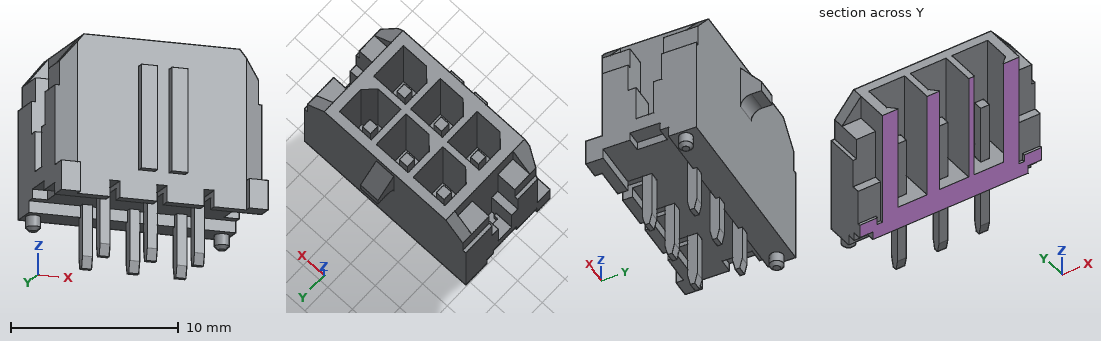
import cadquery as cq


width = 13.15
height = 9.90
front_y = -3.465
back_y = 3.425
depth = back_y - front_y
half_width = width / 2

top_half_width = 4.95
shoulder_half_width = 6.33
shoulder_z = 8.23
step_z = 6.75
front_corner_x = 5.365
front_corner_depth = 0.62

platform_back_y = 2.65
platform_front_y = -2.44
slot_width = 2.24
slot_floor_z = 4.74
groove_width = 1.17
groove_floor_z = 2.27
pocket_outer_x = 5.61
pocket_middle_x = 5.30
pocket_tab_width = 0.78
pocket_depth = 0.50

front_detail_y = -3.955
foot_back_y = -2.79
foot_height = 1.82
rib_width = 1.02
rib_spacing = 1.94

latch_width = 1.42
latch_tip_y = 4.815
latch_top_z = 9.33
latch_tip_z = 7.70
latch_bottom_z = 6.98
latch_root_radius = 0.72

recess_height = 0.72
recess_back_y = 1.57
notch_top_z = 1.29
notch_width = 2.0
notch_inner_x = pocket_outer_x

pitch = 3.0
columns = (-1, 0, 1)
rows = (-1, 1)
pin_size = 0.64
pin_bottom_z = -3.19
pin_taper_z = -2.46
pin_tip_depth = 0.30
pin_top_z = 6.5
pin_slot_height = 1.02
cavity_size = 2.58
cavity_corner = 0.72
cavity_floor_z = 2.4

peg_x = 6.0
peg_y = 2.44
peg_diameter = 0.90
peg_length = 0.89
peg_chamfer = 0.22


def box(x_range, y_range, z_range):
    """Axis-aligned block between the given limits."""
    limits = (x_range, y_range, z_range)
    sizes = [high - low for low, high in limits]
    corner = cq.Vector(*[low for low, high in limits])
    return cq.Workplane(cq.Solid.makeBox(*sizes, corner))


def centered(size, middle=0):
    """Limits of a span of the given size about its middle."""
    return (middle - size / 2, middle + size / 2)


def with_mirror(shape):
    """The shape together with its mirror image at the other end of the housing."""
    return shape.union(shape.mirror("YZ"))


def extrude_along_x(points, x_range):
    """Prism along X with a polygon of (y, z) points as its section."""
    start, end = x_range
    return cq.Workplane("YZ").workplane(offset=start).polyline(points).close().extrude(end - start)


def make_body():
    """Stepped housing block with both vertical front corners cut off at an angle."""
    right_side = [
        (half_width, 0),
        (half_width, step_z),
        (shoulder_half_width, step_z),
        (shoulder_half_width, shoulder_z),
        (top_half_width, height),
    ]
    left_side = [(-x, z) for x, z in reversed(right_side)]
    body = cq.Workplane("XZ", origin=(0, back_y, 0)).polyline(right_side + left_side).close().extrude(depth)
    corner = [
        (front_corner_x, front_y),
        (half_width, front_y + front_corner_depth),
        (half_width, front_y),
    ]
    corner_cut = cq.Workplane("XY").polyline(corner).close().extrude(height)
    return body.cut(with_mirror(corner_cut))


def make_end_recess():
    """Platform, stepped slot and floor pocket cut into the +X end."""
    end = (top_half_width, half_width)
    platform = box(end, (platform_front_y, platform_back_y), (shoulder_z, height))
    slot = box(end, centered(slot_width), (slot_floor_z, height))
    groove = box(end, centered(groove_width), (groove_floor_z, height))
    pocket_z = (groove_floor_z - pocket_depth, groove_floor_z)
    pocket = box((top_half_width, pocket_middle_x), centered(groove_width), pocket_z)
    pocket_tab = box((pocket_middle_x, pocket_outer_x), centered(pocket_tab_width), pocket_z)
    return platform.union(slot).union(groove).union(pocket).union(pocket_tab)


def make_underside_recess():
    """Shallow channel under the housing, with end notches and slots in the front wall."""
    recess = box(centered(width), (foot_back_y, recess_back_y), (0, recess_height))
    notch = box((notch_inner_x, half_width), centered(notch_width), (0, notch_top_z))
    recess = recess.union(with_mirror(notch))
    for column in columns:
        slot_x = centered(pin_size, column * pitch)
        recess = recess.union(box(slot_x, (front_y, -pitch / 2), (0, pin_slot_height)))
    return recess


def make_cavity(column, row):
    """Square contact cavity with one cut-off corner that keys the mating half."""
    key = 1 if (column, row) == (columns[-1], rows[-1]) else -1
    half = cavity_size / 2
    points = [
        (key * half, half),
        (-key * half, half),
        (-key * half, -half),
        (key * (half - cavity_corner), -half),
        (key * half, cavity_corner - half),
    ]
    origin = (column * pitch, row * pitch / 2, cavity_floor_z)
    return cq.Workplane("XY", origin=origin).polyline(points).close().extrude(height - cavity_floor_z)


def make_pin(column, row):
    """Square contact pin, tapered front and back at its solder end."""
    y = row * pitch / 2
    half = pin_size / 2
    half_tip = pin_tip_depth / 2
    section = [
        (y - half_tip, pin_bottom_z),
        (y + half_tip, pin_bottom_z),
        (y + half, pin_taper_z),
        (y + half, pin_top_z),
        (y - half, pin_top_z),
        (y - half, pin_taper_z),
    ]
    return extrude_along_x(section, centered(pin_size, column * pitch))


def make_front_details():
    """Corner feet and the two vertical ribs that stand out of the front face."""
    foot = box((front_corner_x, half_width), (front_detail_y, foot_back_y), (0, foot_height))
    rib_x = centered(rib_width, rib_spacing / 2)
    rib = box(rib_x, (front_detail_y, front_y), (foot_height, shoulder_z))
    return with_mirror(foot).union(with_mirror(rib))


def make_latch():
    """Ramped latch on the back face with a hollow radius under its root."""
    return (
        cq.Workplane("YZ", origin=(-latch_width / 2, 0, 0))
        .moveTo(back_y, latch_top_z)
        .lineTo(latch_tip_y, latch_tip_z)
        .lineTo(latch_tip_y, latch_bottom_z)
        .lineTo(back_y + latch_root_radius, latch_bottom_z)
        .radiusArc((back_y, latch_bottom_z - latch_root_radius), -latch_root_radius)
        .close()
        .extrude(latch_width)
    )


def make_pegs():
    """Round locating pegs under the back corners, chamfered at the tip."""
    peg = (
        cq.Workplane("XY", origin=(peg_x, peg_y, 0))
        .circle(peg_diameter / 2)
        .extrude(-peg_length)
        .faces("<Z")
        .chamfer(peg_chamfer)
    )
    return with_mirror(peg)


housing = make_body()
housing = housing.cut(with_mirror(make_end_recess()))
housing = housing.cut(make_underside_recess())
for column in columns:
    for row in rows:
        housing = housing.cut(make_cavity(column, row))
        housing = housing.union(make_pin(column, row))
housing = housing.union(make_front_details())
housing = housing.union(make_latch())
housing = housing.union(make_pegs())

result = housing